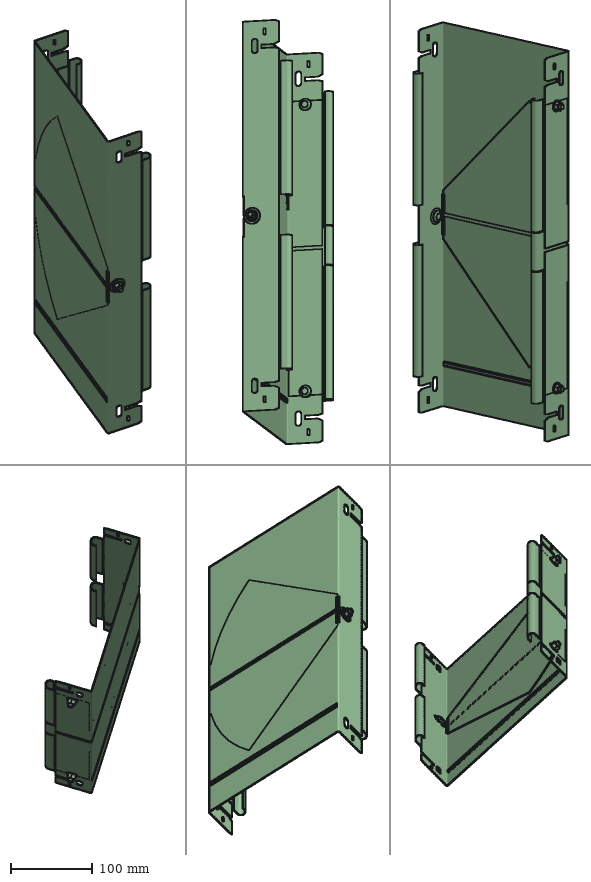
import cadquery as cq
import math

length = 490.0
width = 205.0
height = 61.5
sheet = 1.2
bend_outer = 2.2
bend_inner = bend_outer - sheet
mid_z = length / 2
wall_x = width / 2
wall_top = 46.5

hook_radius = 6.0
hook_tip_y = 53.0
joggle_rise = 2.0
hook_end = 51.5
rim_gap = 51.0
inner_hook_length = 49.0

slit_width = 4.5
relief_width = 4.5

groove_z = 54.5
groove_width = 6.5
groove_slope = 1.5
groove_margin = 3.0

corner_rise = 4.5
corner_drop = 2.0
notch_z = 32.5
notch_width = 4.5
notch_root_y = 24.0
notch_flare_y = 40.5
notch_flare_outer = 3.0
notch_flare_inner = 1.5
small_slot = (13.5, 28.5, 8.0, 3.0)
large_slot = (31.5, 15.5, 18.0, 7.5)

arc_radius = 257.2
arc_centre_offset = 256.0
sector_corner_offset = 63.0
arc_centre_x = -wall_x + arc_centre_offset
sector_corner_x = -wall_x + sector_corner_offset
inner_wall_end = 60.0

shank_diameter = 6.0
shank_length = 12.0
head_diameter = 14.5
head_height = 3.0
head_rim = 1.0
head_top_diameter = 8.5
nut_flats = 10.0
nut_height = 6.0
flange_diameter = 14.0
flange_thickness = 0.5
left_bolt_y = 25.0
left_bolt_end = 64.5
pivot_y = 12.5
pivot_disc_diameter = 20.0


def block(x_range, y_range, z_range):
    """Box between two limits on each axis."""
    sizes = [high - low for low, high in (x_range, y_range, z_range)]
    corner = (x_range[0], y_range[0], z_range[0])
    return cq.Workplane("XY").box(*sizes, centered=False).translate(corner)


def cylinder_along_x(diameter, x_range, y, z):
    """Round bar along X between two X limits."""
    bar = cq.Workplane("YZ").circle(diameter / 2).extrude(x_range[1] - x_range[0])
    return bar.translate((x_range[0], y, z))


def across_walls(outline):
    """Cutter that runs along X through both walls; the outline is in Y and Z."""
    return outline.extrude(wall_x + sheet, both=True)


def mirror_ends(shape):
    """Copy of the shape at the other end of the tray."""
    return shape.mirror("XY", (0, 0, mid_z))


def along_z(outline, z_range):
    """Extrude an outline in X and Y between two Z limits."""
    return outline.extrude(z_range[1] - z_range[0]).translate((0, 0, z_range[0]))


def left_hook(start_y, z_range):
    """Hooked strip rising from start_y, one sheet inside the left wall's outer face."""
    face_x = -wall_x + sheet
    centre_x = face_x + hook_radius
    centre_y = height - hook_radius
    tip_x = centre_x + hook_radius
    outline = (
        cq.Workplane("XY")
        .moveTo(face_x, start_y)
        .lineTo(face_x, centre_y)
        .threePointArc((centre_x, height), (tip_x, centre_y))
        .lineTo(tip_x, hook_tip_y)
        .lineTo(tip_x - sheet, hook_tip_y)
        .lineTo(tip_x - sheet, centre_y)
        .threePointArc((centre_x, height - sheet), (face_x + sheet, centre_y))
        .lineTo(face_x + sheet, start_y)
        .close()
    )
    return along_z(outline, z_range)


def left_rim(z_range):
    """Rim that steps inwards by one sheet above the left wall and ends in a hook."""
    hook_start = wall_top + joggle_rise
    joggle = cq.Workplane("XY").polyline(
        [
            (-wall_x, wall_top),
            (-wall_x + sheet, wall_top),
            (-wall_x + 2 * sheet, hook_start),
            (-wall_x + sheet, hook_start),
        ]
    ).close()
    return along_z(joggle, z_range).union(left_hook(hook_start, z_range))


def channel():
    """U-shaped sheet with rounded bends."""
    outside = block((-wall_x, wall_x), (0, wall_top), (0, length))
    outside = outside.edges("|Z and <Y").fillet(bend_outer)
    inside_x = wall_x - sheet
    inside = block((-inside_x, inside_x), (sheet, wall_top), (0, length))
    inside = inside.edges("|Z and <Y").fillet(bend_inner)
    return outside.cut(inside)


def wall_cutouts():
    """Clipped corner, flared notch and two slots at the lower end of the walls."""
    corner = cq.Workplane("YZ").polyline(
        [(wall_top, 0), (wall_top, corner_drop), (wall_top - corner_rise, 0)]
    ).close()
    low_z = notch_z - notch_width / 2
    high_z = notch_z + notch_width / 2
    notch = cq.Workplane("YZ").polyline(
        [
            (notch_root_y, low_z),
            (notch_flare_y, low_z),
            (wall_top, low_z - notch_flare_outer),
            (wall_top, high_z + notch_flare_inner),
            (notch_flare_y, high_z),
            (notch_root_y, high_z),
        ]
    ).close()
    cutters = [across_walls(corner), across_walls(notch)]
    for z, y, slot_length, slot_width in (small_slot, large_slot):
        slot = cq.Workplane("YZ").center(y, z).slot2D(slot_length, slot_width, 90)
        cutters.append(across_walls(slot))
    return cutters


def groove_bar(offset_y):
    """Trapezoid bar across the base, as deep as its flanks are wide."""
    half = groove_width / 2
    run = wall_x - groove_margin
    flat_half = half - groove_slope
    section = cq.Workplane("YZ").polyline(
        [(0, -half), (groove_slope, -flat_half), (groove_slope, flat_half), (0, half)]
    ).close()
    return section.extrude(run, both=True).translate((0, offset_y, groove_z))


def make_tray():
    tray = channel()

    rim = left_rim((hook_end, mid_z - rim_gap / 2))
    for end_rim in (rim, mirror_ends(rim)):
        tray = tray.union(end_rim).union(end_rim.mirror("YZ"))

    for cutter in wall_cutouts():
        tray = tray.cut(cutter).cut(mirror_ends(cutter))

    tray = tray.union(groove_bar(sheet)).cut(groove_bar(0))

    slit_z = (mid_z - slit_width / 2, mid_z + slit_width / 2)
    relief_z = (mid_z - rim_gap / 2, mid_z + rim_gap / 2)
    relief_x = wall_x - relief_width
    tray = tray.cut(block((-wall_x, -wall_x + bend_outer), (0, wall_top), slit_z))
    tray = tray.cut(block((-wall_x, relief_x), (0, sheet), slit_z))
    tray = tray.cut(block((relief_x, wall_x), (0, bend_outer), relief_z))

    disc_x = (wall_x, wall_x + sheet)
    return tray.union(cylinder_along_x(pivot_disc_diameter, disc_x, pivot_y, mid_z))


def arc_half_length(x):
    """Half of the sector's length along Z where its arc crosses x."""
    return math.sqrt(arc_radius**2 - (x - arc_centre_x) ** 2)


def make_inner_plate():
    outer_x = -wall_x + sheet
    bend_x = outer_x + bend_outer
    right_x = wall_x - bend_outer
    bend_half = arc_half_length(bend_x)
    corner_half = arc_half_length(sector_corner_x)
    right_half = corner_half - (right_x - sector_corner_x)
    arc_mid_x = (bend_x + sector_corner_x) / 2
    arc_mid_half = arc_half_length(arc_mid_x)
    sector = (
        cq.Workplane("XZ")
        .moveTo(bend_x, mid_z - bend_half)
        .threePointArc((arc_mid_x, mid_z - arc_mid_half), (sector_corner_x, mid_z - corner_half))
        .lineTo(right_x, mid_z - right_half)
        .lineTo(right_x, mid_z + right_half)
        .lineTo(sector_corner_x, mid_z + corner_half)
        .threePointArc((arc_mid_x, mid_z + arc_mid_half), (bend_x, mid_z + bend_half))
        .close()
        .extrude(-sheet)
        .translate((0, sheet, 0))
    )

    bend_y = sheet + bend_outer
    bend_z = (mid_z - bend_half, mid_z + bend_half)
    bend_centre = cq.Workplane("XY").center(bend_x, bend_y)
    ring = along_z(bend_centre.circle(bend_outer).circle(bend_inner), bend_z)
    bend = ring.intersect(block((outer_x, bend_x), (sheet, bend_y), bend_z))

    wall_z = (inner_wall_end, length - inner_wall_end)
    wall = block((outer_x, outer_x + sheet), (bend_y, wall_top), wall_z)
    hook_z = (mid_z - inner_hook_length / 2, mid_z + inner_hook_length / 2)
    hook = left_hook(wall_top, hook_z)
    return sector.union(bend).union(wall).union(hook)


def make_bolt():
    """Plain shank under a head that tapers to a flat top."""
    head_radius = head_diameter / 2
    shank_radius = shank_diameter / 2
    half_outline = [
        (-head_height, 0),
        (-head_height, head_top_diameter / 2),
        (-head_rim, head_radius),
        (0, head_radius),
        (0, shank_radius),
        (shank_length, shank_radius),
        (shank_length, 0),
    ]
    return cq.Workplane("XY").polyline(half_outline).close().revolve(360, (0, 0, 0), (1, 0, 0))


def make_nut():
    """Flanged hexagon nut with two corners along Z, seated beyond two sheets."""
    corner_diameter = nut_flats / math.cos(math.pi / 6)
    hexagon = cq.Workplane("YZ").transformed(rotate=(0, 0, 90)).polygon(6, corner_diameter)
    flange = cq.Workplane("YZ").circle(flange_diameter / 2).extrude(flange_thickness)
    bore = cq.Workplane("YZ").circle(shank_diameter / 2).extrude(nut_height)
    nut = hexagon.extrude(nut_height).union(flange).cut(bore)
    return nut.translate((2 * sheet, 0, 0))


def place_left(shape, z):
    """Turn a fastener to point along -X, its head on the inner plate."""
    return shape.rotate((0, 0, 0), (0, 0, 1), 180).translate((-wall_x + 2 * sheet, left_bolt_y, z))


def place_pivot(shape):
    """Put a fastener through the right wall and its disc."""
    return shape.translate((wall_x - sheet, pivot_y, mid_z))


left_bolt_z = [left_bolt_end, length - left_bolt_end]
bolts = [place_left(make_bolt(), z) for z in left_bolt_z] + [place_pivot(make_bolt())]
nuts = [place_left(make_nut(), z) for z in left_bolt_z] + [place_pivot(make_nut())]

tray = make_tray()
inner_plate = make_inner_plate()
for bolt in bolts:
    tray = tray.cut(bolt)
    inner_plate = inner_plate.cut(bolt)

bodies = [tray, inner_plate, *bolts, *nuts]
result = cq.Compound.makeCompound([body.solids().val() for body in bodies])